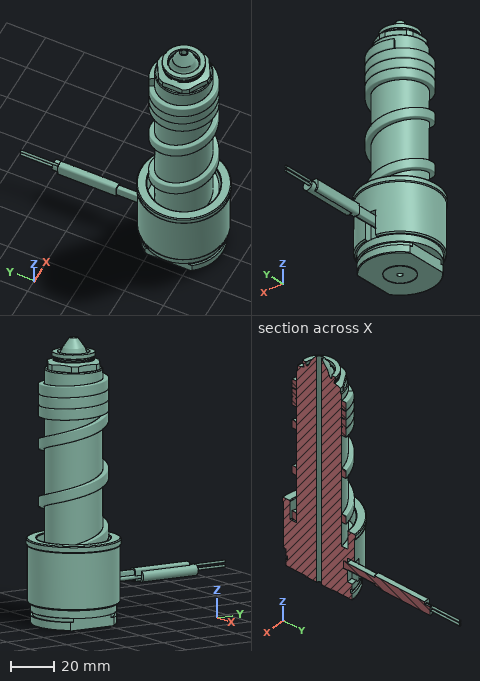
import cadquery as cq
import math

melt_channel_radius = 1.4
total_height = 134.8

tip_flat_radius = 2.0
tip_cone_radius = 5.3
tip_cone_bottom = 130.2
tip_flare_radius = 6.1
tip_flare_top = 127.8
tip_base_radius = 7.0

collar_radius = 10.0
collar_top = 128.3
collar_bottom = 126.3
recess_radius = 7.5
recess_floor = 126.3

neck_radius = 9.5
neck_taper_top = 125.6
neck_taper_bottom = 124.9
neck_root_radius = 9.0

hex_across_flats = 24.0
hex_corner_radius = 13.0
hex_bevel_radius = 9.6
hex_bevel_top = 124.5
hex_bevel_bottom = 123.4

tube_radius = 13.5
tube_top = 120.6
tube_chamfer = 0.5

flange_radius = 22.0
flange_top = 40.6
flange_bottom = 37.3
flange_chamfer = 0.5
housing_radius = 21.5
housing_bottom = 10.2
housing_chamfer = 0.7
housing_bore_radius = 17.1
housing_bore_chamfer = 0.4
housing_bore_floor = 29.6

foot_radius = 20.0
foot_groove_radius = 19.0
foot_groove_top = 6.4
foot_groove_bottom = 4.5
foot_bottom = 0.4
foot_chamfer = 0.4
foot_across_flats = 32.0
pad_radius = 8.0

strip_thickness = 2.8
strip_height = 5.2
strip_fillet = 0.5
coil_clearance = 0.02
coil_middle_radius = tube_radius + coil_clearance + strip_thickness / 2

lead_x = -1.35
lead_z = 19.2
lead_height = 4.8
coil_start_z = 19.1
loose_pitch = 27.2
tight_pitch = 5.28
loose_start_angle = 90.0
loose_sweep_angle = 1037.0
tight_sweep_angle = 1153.0

lead_sleeve_width = 4.2
lead_sleeve_height = 6.3
lead_sleeve_fillet = 1.2
lead_sleeve_start = 33.3
sleeve_length = 30.0
wire_x = -1.15
wire_radius = 0.65
wire_spacing = 2.1
wire_end = 83.5

sensor_z = 18.25
sensor_radius = 1.05
sensor_sleeve_radius = 2.7
sensor_sleeve_start = 36.6

exit_slot_width = 6.2
exit_slot_top = 24.0


def nozzle_blank():
    """Everything on the nozzle that is round, turned in one piece."""
    profile = [
        (0, 0),
        (pad_radius, 0),
        (pad_radius, foot_bottom),
        (foot_radius - foot_chamfer, foot_bottom),
        (foot_radius, foot_bottom + foot_chamfer),
        (foot_radius, foot_groove_bottom),
        (foot_groove_radius, foot_groove_bottom),
        (foot_groove_radius, foot_groove_top),
        (foot_radius, foot_groove_top),
        (foot_radius, housing_bottom),
        (housing_radius - housing_chamfer, housing_bottom),
        (housing_radius, housing_bottom + housing_chamfer),
        (housing_radius, flange_bottom),
        (flange_radius, flange_bottom + flange_chamfer),
        (flange_radius, flange_top - flange_chamfer),
        (flange_radius - flange_chamfer, flange_top),
        (housing_bore_radius + housing_bore_chamfer, flange_top),
        (housing_bore_radius, flange_top - housing_bore_chamfer),
        (housing_bore_radius, housing_bore_floor),
        (tube_radius, housing_bore_floor),
        (tube_radius, tube_top - tube_chamfer),
        (tube_radius - tube_chamfer, tube_top),
        (neck_root_radius, tube_top),
        (neck_root_radius, neck_taper_bottom),
        (neck_radius, neck_taper_top),
        (neck_radius, collar_bottom),
        (collar_radius, collar_bottom),
        (collar_radius, collar_top),
        (recess_radius, collar_top),
        (recess_radius, recess_floor),
        (tip_base_radius, recess_floor),
        (tip_flare_radius, tip_flare_top),
        (tip_cone_radius, tip_cone_bottom),
        (tip_flat_radius, total_height),
        (0, total_height),
    ]
    return cq.Workplane("XZ").polyline(profile).close().revolve(360, (0, 0, 0), (0, 1, 0))


def hex_nut():
    """Hexagon with flats facing +X and -X, its corners turned round and its top bevelled."""
    turned = (
        cq.Workplane("XZ")
        .polyline([
            (0, tube_top),
            (hex_corner_radius, tube_top),
            (hex_corner_radius, hex_bevel_bottom),
            (hex_bevel_radius, hex_bevel_top),
            (0, hex_bevel_top),
        ])
        .close()
        .revolve(360, (0, 0, 0), (0, 1, 0))
    )
    hexagon = (
        cq.Workplane("XY", origin=(0, 0, tube_top))
        .transformed(rotate=(0, 0, 30))
        .polygon(6, hex_across_flats / math.cos(math.pi / 6))
        .extrude(hex_bevel_top - tube_top)
    )
    return turned.intersect(hexagon)


def foot_flats():
    """Material outside the two wrench flats of the foot."""
    outer_size = 4 * foot_radius
    frame = cq.Workplane("XY").rect(outer_size, outer_size).rect(foot_across_flats, outer_size / 2)
    return frame.extrude(foot_groove_top)


def exit_slot():
    """Slot through the rear of the housing wall, where the heater leads come out."""
    depth = flange_radius - housing_bore_radius
    middle_y = housing_bore_radius + depth / 2
    return (
        cq.Workplane("XY", origin=(0, middle_y, housing_bottom))
        .rect(exit_slot_width, depth)
        .extrude(exit_slot_top - housing_bottom)
    )


def make_nozzle(bedded_part):
    """Nozzle body, hollowed where the bedded part of the heater sits in it."""
    channel = cq.Workplane("XY").circle(melt_channel_radius).extrude(total_height)
    body = nozzle_blank().union(hex_nut()).cut(foot_flats()).cut(exit_slot()).cut(channel)
    return body.cut(bedded_part)


def coil_section(pitch, start_angle, sweep_angle, start_z):
    """Rounded flat strip wound on the tube, rising anticlockwise from start_angle."""
    path = cq.Wire.makeHelix(pitch, pitch * sweep_angle / 360, coil_middle_radius)
    strip = (
        cq.Workplane("XZ", origin=(coil_middle_radius, 0, 0))
        .sketch()
        .rect(strip_thickness, strip_height)
        .vertices()
        .fillet(strip_fillet)
        .finalize()
    )
    coil = strip.sweep(cq.Workplane(path), isFrenet=True)
    return coil.rotate((0, 0, 0), (0, 0, 1), start_angle).translate((0, 0, start_z))


def rear_bar(width, height, fillet, start, end):
    """Bar with rounded long edges, running along +Y on the line of the lead."""
    return (
        cq.Workplane("XY")
        .box(width, end - start, height)
        .edges("|Y")
        .fillet(fillet)
        .translate((lead_x, (start + end) / 2, lead_z))
    )


def rear_rod(radius, x, z, start, end):
    """Round rod running along +Y."""
    return cq.Workplane("XZ", origin=(x, start, z)).circle(radius).extrude(start - end)


def lead():
    """Flat lead and sensor lead side by side, each in its sleeve, with two bare wires at the end."""
    lead_sleeve_end = lead_sleeve_start + sleeve_length
    sensor_sleeve_end = sensor_sleeve_start + sleeve_length

    flat_lead = rear_bar(strip_thickness, lead_height, strip_fillet, coil_middle_radius, lead_sleeve_start)
    lead_sleeve = rear_bar(
        lead_sleeve_width, lead_sleeve_height, lead_sleeve_fillet, lead_sleeve_start, lead_sleeve_end
    )
    sensor_lead = rear_rod(sensor_radius, 0, sensor_z, coil_middle_radius, sensor_sleeve_start)
    sensor_sleeve = rear_rod(sensor_sleeve_radius, 0, sensor_z, sensor_sleeve_start, sensor_sleeve_end)

    leads = flat_lead.union(lead_sleeve).union(sensor_lead).union(sensor_sleeve)
    for side in (-1, 1):
        wire_z = lead_z + side * wire_spacing / 2
        leads = leads.union(rear_rod(wire_radius, wire_x, wire_z, lead_sleeve_end, wire_end))
    return leads


def heater_lower_part():
    """Widely wound part of the coil with its leads, the part that is bedded in the nozzle."""
    loose_coil = coil_section(loose_pitch, loose_start_angle, loose_sweep_angle, coil_start_z)
    return loose_coil.union(lead())


def tight_coil():
    """Closely wound part of the coil, going on where the wide part ends."""
    start_angle = loose_start_angle + loose_sweep_angle
    start_z = coil_start_z + loose_pitch * loose_sweep_angle / 360
    return coil_section(tight_pitch, start_angle, tight_sweep_angle, start_z)


lower_part = heater_lower_part()
nozzle = make_nozzle(lower_part)
heater = lower_part.union(tight_coil())
result = cq.Compound.makeCompound([*nozzle.val().Solids(), *heater.val().Solids()])